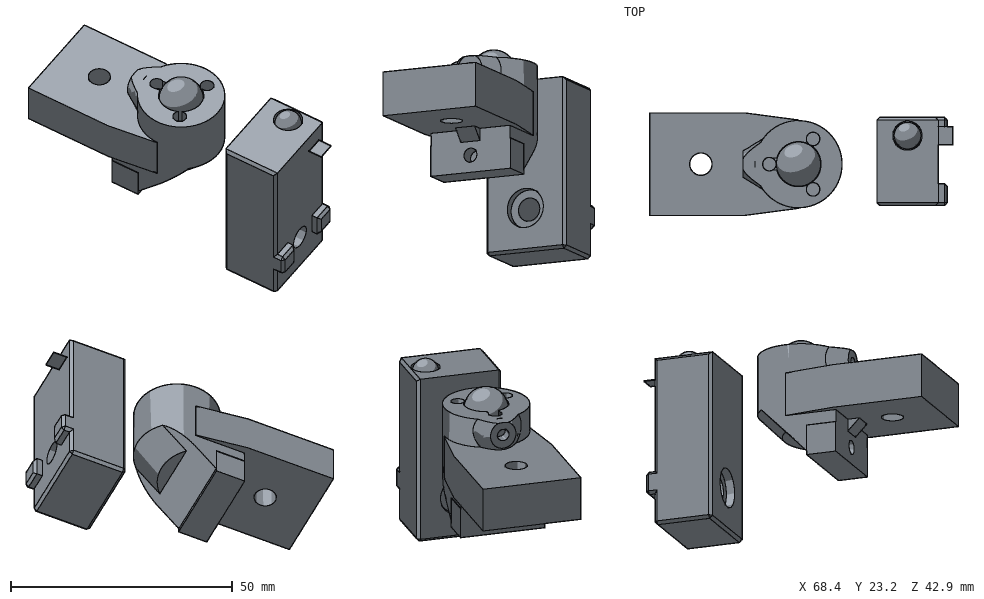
import cadquery as cq
import math


overall_length = 68.35

arm_left = -33.55
arm_width = 23.2
arm_top = -6.8
arm_bottom = -16.9
taper_start = -12.2
arm_hole_dia = 5.0
arm_hole_x = -22.0

cup_dia = 19.7
cup_radius = cup_dia / 2
ledge_x = 6.9
ledge_z = -13.8
toe_bottom = -19.75

gusset_leg = 2.8
gusset_width = 4.8

bar_side = 7.05
bar_width = 19.95
bar_left = taper_start
bar_right = bar_left + bar_side
bar_top = toe_bottom
bar_bottom = bar_top - bar_side
bar_hole_dia = 3.2
bar_hole_depth = 3.4
bar_hole_z = -22.8

ball_dia = 10.0
ball_top = 3.75
pocket_dia = 10.2
ball_z = ball_top - ball_dia / 2
pocket_depth = ball_dia / 2 - ball_z
side_hole_dia = 3.1
side_hole_count = 3
side_hole_distance = 6.55
slot_width = 2.7

pin_dia = 3.0
pin_length = 3.0

nozzle_left = -12.5
nozzle_z = -2.95
nozzle_mouth_width = 6.0
nozzle_mouth_height = 6.4
nozzle_root_x = -4.8
nozzle_root_width = 15.3
nozzle_root_height = 20.4
sleeve_dia = 6.0
sleeve_length = 2.7
nozzle_hole_dia = 2.7
nozzle_hole_depth = 2.7

block_left = 17.65
block_length = 13.9
block_width = 19.95
block_height = 39.5
block_top = 0.4
block_y = 0.6
block_chamfer = 0.7
block_right = block_left + block_length
block_bottom = block_top - block_height
bolt_hole_dia = 5.3
counterbore_dia = 9.0
counterbore_depth = 2.0
bolt_rise = 10.05
bolt_z = block_bottom + bolt_rise

lug_reach = 2.05
lug_height = 5.3
lug_width = 5.0

small_ball_dia = 6.0
small_ball_x = block_left + block_length / 2
small_ball_y = 6.4
small_ball_top = 2.25
small_ball_hole_dia = 6.55
strip_width = 4.1
strip_thickness = 0.2
strip_top = -3.95
strip_right = arm_left + overall_length
strip_left = small_ball_x - small_ball_hole_dia / 2
small_ball_z = small_ball_top - small_ball_dia / 2


def box_between(x0, x1, y0, y1, z0, z1):
    """A box from its limits along X, Y and Z."""
    return cq.Workplane("XY").box(x1 - x0, y1 - y0, z1 - z0, centered=False).translate((x0, y0, z0))


def cylinder_z(diameter, x, y, z0, z1):
    """A cylinder along Z."""
    return cq.Workplane("XY", origin=(x, y, z0)).circle(diameter / 2).extrude(z1 - z0)


def cylinder_x(diameter, x0, x1, y, z):
    """A cylinder along X."""
    return cq.Workplane("YZ", origin=(x0, y, z)).circle(diameter / 2).extrude(x1 - x0)


def make_arm():
    plate = (
        cq.Workplane("XY", origin=(0, 0, arm_bottom))
        .moveTo(arm_left, -arm_width / 2)
        .lineTo(taper_start, -arm_width / 2)
        .lineTo(0, -bar_width / 2)
        .lineTo(0, bar_width / 2)
        .lineTo(taper_start, arm_width / 2)
        .lineTo(arm_left, arm_width / 2)
        .close()
        .extrude(arm_top - arm_bottom)
    )
    return plate.cut(cylinder_z(arm_hole_dia, arm_hole_x, 0, arm_bottom, arm_top))


def make_cup():
    """The cup down to its ledge, and the foot with its 45 degree slope."""
    cup = cylinder_z(cup_dia, 0, 0, ledge_z, 0)
    column = cylinder_z(cup_dia, 0, 0, bar_bottom, ledge_z)
    column = column.union(
        box_between(taper_start, 0, -cup_radius, cup_radius, bar_bottom, arm_bottom)
    )
    slope_drop = ledge_z - bar_bottom
    above_slope = (
        cq.Workplane("XZ")
        .polyline([
            (taper_start, ledge_z),
            (ledge_x, ledge_z),
            (ledge_x - slope_drop, bar_bottom),
            (taper_start, bar_bottom),
        ])
        .close()
        .extrude(cup_radius, both=True)
    )
    return cup.union(column.intersect(above_slope))


def make_toe():
    """The part of the disk beyond the slope, continued down along the slope."""
    half_chord = math.sqrt(cup_radius**2 - ledge_x**2)
    drop = ledge_z - toe_bottom
    segment = (
        cq.Workplane("XY", origin=(0, 0, ledge_z))
        .moveTo(ledge_x, -half_chord)
        .threePointArc((cup_radius, 0), (ledge_x, half_chord))
        .close()
    )
    face = cq.Face.makeFromWires(segment.val())
    return cq.Workplane(cq.Solid.extrudeLinear(face, cq.Vector(-drop, 0, -drop)))


def make_gusset():
    return (
        cq.Workplane("XZ")
        .polyline([
            (taper_start - gusset_leg, arm_bottom),
            (taper_start, arm_bottom),
            (taper_start, arm_bottom - gusset_leg),
        ])
        .close()
        .extrude(gusset_width / 2, both=True)
    )


def make_nozzle():
    """The flare, trimmed at the cup rim, and the sleeve that rises just above the rim."""
    flare = (
        cq.Workplane("YZ", origin=(nozzle_left, 0, nozzle_z))
        .ellipse(nozzle_mouth_width / 2, nozzle_mouth_height / 2)
        .workplane(offset=nozzle_root_x - nozzle_left)
        .ellipse(nozzle_root_width / 2, nozzle_root_height / 2)
        .loft(ruled=True)
    )
    trim = box_between(nozzle_left, nozzle_root_x, -cup_radius, cup_radius, arm_bottom, 0)
    sleeve = cylinder_x(sleeve_dia, nozzle_left, nozzle_left + sleeve_length, 0, nozzle_z)
    return flare.intersect(trim).union(sleeve)


def side_hole_places():
    """Centres of the side holes, evenly spaced from the -X side on."""
    angles = [math.pi + 2 * math.pi * i / side_hole_count for i in range(side_hole_count)]
    return [(side_hole_distance * math.cos(a), side_hole_distance * math.sin(a)) for a in angles]


def make_pocket():
    """The ball pocket with its side holes, one of them opened to it by a slot."""
    pocket = cylinder_z(pocket_dia, 0, 0, -pocket_depth, 0)
    for x, y in side_hole_places():
        pocket = pocket.union(cylinder_z(side_hole_dia, x, y, -pocket_depth, 0))
    slot = box_between(-side_hole_distance, 0, -slot_width / 2, slot_width / 2, -pocket_depth, 0)
    return pocket.union(slot)


def make_bar():
    return box_between(bar_left, bar_right, -bar_width / 2, bar_width / 2, bar_bottom, bar_top)


def make_holder():
    holder = make_arm().union(make_cup()).union(make_toe()).union(make_gusset())
    holder = holder.union(make_nozzle()).union(make_bar())
    holder = holder.cut(make_pocket())
    holder = holder.cut(
        cylinder_x(nozzle_hole_dia, nozzle_left, nozzle_left + nozzle_hole_depth, 0, nozzle_z)
    )
    return holder.cut(cylinder_x(bar_hole_dia, bar_left, bar_left + bar_hole_depth, 0, bar_hole_z))


def make_pin(x, y):
    return cylinder_z(pin_dia, x, y, -pocket_depth, pin_length - pocket_depth)


def make_ball(diameter, x, y, z):
    return cq.Workplane("XY").sphere(diameter / 2).translate((x, y, z))


def make_strip():
    return box_between(
        strip_left,
        strip_right,
        small_ball_y - strip_width / 2,
        small_ball_y + strip_width / 2,
        strip_top - strip_thickness,
        strip_top,
    )


def make_block():
    front = block_y - block_width / 2
    back = block_y + block_width / 2
    lug_right = block_right + lug_reach
    lug_bottom = bolt_z - lug_height / 2
    lug_top = bolt_z + lug_height / 2
    block = box_between(block_left, block_right, front, back, block_bottom, block_top)
    block = block.union(box_between(block_left, lug_right, front, back, lug_bottom, lug_top))
    block = block.cut(
        box_between(block_right, lug_right, front + lug_width, back - lug_width, lug_bottom, lug_top)
    )
    block = block.faces("<Y or >Y or >X or <Z").edges().chamfer(block_chamfer)
    block = block.cut(cylinder_x(bolt_hole_dia, block_left, block_right, block_y, bolt_z))
    block = block.cut(
        cylinder_x(counterbore_dia, block_left, block_left + counterbore_depth, block_y, bolt_z)
    )
    block = block.cut(cylinder_z(small_ball_hole_dia, small_ball_x, small_ball_y, strip_top, block_top))
    return block.cut(make_strip())


holder = make_holder()
ball = make_ball(ball_dia, 0, 0, ball_z)
pins = [make_pin(x, y) for x, y in side_hole_places()]
block = make_block()
small_ball = make_ball(small_ball_dia, small_ball_x, small_ball_y, small_ball_z)
strip = make_strip()

result = cq.Compound.makeCompound([
    holder.val(),
    ball.val(),
    *[pin.val() for pin in pins],
    block.val(),
    small_ball.val(),
    strip.val(),
])